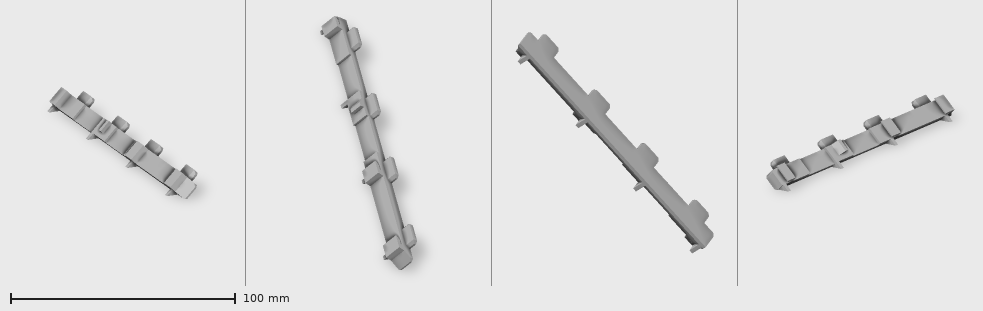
import cadquery as cq

TILT = 45

LENGTH = 137.7
THICKNESS = 4.8
BAR_BOTTOM = 3.75
BAR_TOP = 12.2
END_CHAMFER = 1.2
END_BEVEL = 4.0

RECESS_DEPTH = 1.35
RECESSES = [(22.3, 42.75), (56.8, 77.6)]

PEG_HEIGHT = 4.8
PEG_THICKNESS = 2.3
PEG_CHAMFER = 1.25
PEGS = [(8.0, 11.3), (45.4, 12.2), (81.5, 12.2), (119.7, 11.3)]

TAB_WIDTH = 2.1
TAB_STARTS = [0.9, 42.75, 85.55, 128.6]

HOOK_HEIGHT = 3.0
HOOK_GAP = 1.15
HOOK_TIP = 0.6
HOOK_LEAD_IN = 1.8
HOOK_DRAFT = 0.7
HOOKS = [(1.7, 5.7, 7.5), (83.9, 88.2, 90.7), (126.2, 130.5, 133.0)]

CATCH_START = 47.4
CATCH_CREST = 50.3
CATCH_END = 52.3
CATCH_HEIGHT = 2.2
CATCH_WIDTH = 6.0


def plan_prism(points, top, width):
    """Extrude an (X, Z) outline downwards in Y from the level `top`."""
    return cq.Workplane("XZ", origin=(0, top, 0)).polyline(points).close().extrude(width)


def make_bar():
    section = [
        (BAR_BOTTOM, 0),
        (BAR_TOP, 0),
        (BAR_TOP, -THICKNESS),
        (THICKNESS, -THICKNESS),
        (BAR_BOTTOM, -BAR_BOTTOM),
    ]
    bar = cq.Workplane("YZ").polyline(section).close().extrude(LENGTH)
    bar = bar.faces(">Y").edges("<X or >X").chamfer(END_CHAMFER)
    bevel = [(LENGTH - END_BEVEL, 0), (LENGTH, 0), (LENGTH, -END_BEVEL)]
    return bar.cut(plan_prism(bevel, BAR_TOP, BAR_TOP))


def make_recess(start, end):
    outline = [(start, 0), (end, 0), (end, -RECESS_DEPTH), (start, -RECESS_DEPTH)]
    return plan_prism(outline, BAR_TOP, BAR_TOP)


def make_peg(start, length):
    peg = cq.Workplane("XY").box(length, PEG_HEIGHT, PEG_THICKNESS, centered=False)
    peg = peg.faces("<X or >X").edges(">Y or >Z").chamfer(PEG_CHAMFER)
    return peg.translate((start, BAR_TOP, -THICKNESS))


def make_tab(start):
    section = [(0, 0), (BAR_BOTTOM, 0), (BAR_BOTTOM, -BAR_BOTTOM)]
    return cq.Workplane("YZ", origin=(start, 0, 0)).polyline(section).close().extrude(TAB_WIDTH)


def make_hook(tip, stem, end):
    outline = [
        (stem, 0),
        (stem, HOOK_GAP),
        (tip + HOOK_LEAD_IN, HOOK_GAP),
        (tip, HOOK_HEIGHT - HOOK_TIP),
        (tip, HOOK_HEIGHT),
        (end, HOOK_HEIGHT),
        (end + HOOK_DRAFT, 0),
    ]
    return plan_prism(outline, BAR_TOP, BAR_TOP - BAR_BOTTOM)


def make_catch():
    outline = [
        (CATCH_START, 0),
        (CATCH_CREST, CATCH_HEIGHT),
        (CATCH_END, CATCH_HEIGHT),
        (CATCH_END, 0),
    ]
    return plan_prism(outline, BAR_TOP, CATCH_WIDTH)


strip = make_bar()
for recess in RECESSES:
    strip = strip.cut(make_recess(*recess))
for peg in PEGS:
    strip = strip.union(make_peg(*peg))
for tab_start in TAB_STARTS:
    strip = strip.union(make_tab(tab_start))
for hook in HOOKS:
    strip = strip.union(make_hook(*hook))
strip = strip.union(make_catch())

result = strip.rotate((0, 0, 0), (1, 0, 0), TILT)